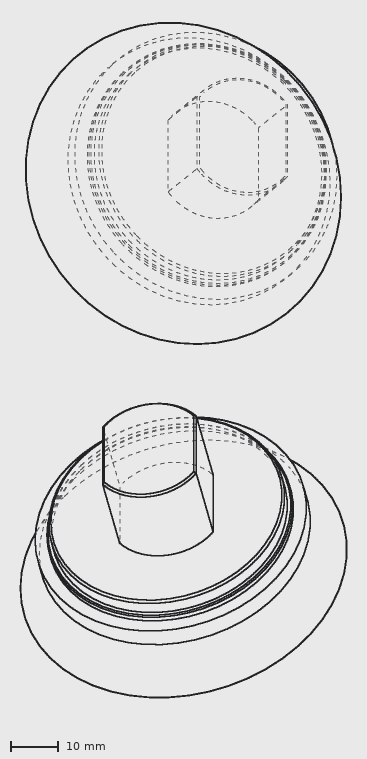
import cadquery as cq

overall_length = 39.95
face_diameter = 69.85
collar_diameter = 58.0
step_diameter = 52.5
flange_diameter = 50.4
shank_diameter = 25.4
shank_width_across_flats = 20.0

cone_length = 10.4
collar_length = 4.55
step_length = 1.5
shank_length = 20.0

flange_chamfer = 0.5
step_chamfer = 0.3
shank_chamfer = 0.45

face_y = -overall_length / 2
collar_y = face_y + cone_length
step_y = collar_y + collar_length
flange_y = step_y + step_length
shank_end_y = overall_length / 2
shank_y = shank_end_y - shank_length


def make_disc(diameter, start_y, end_y):
    """Solid cylinder on the Y axis between two positions."""
    plane = cq.Workplane("XZ", origin=(0, start_y, 0))
    return plane.circle(diameter / 2).extrude(start_y - end_y)


def make_cone():
    """Flare that widens from the collar to the flat face."""
    profile = (
        cq.Workplane("XY")
        .moveTo(0, face_y)
        .lineTo(face_diameter / 2, face_y)
        .lineTo(collar_diameter / 2, collar_y)
        .lineTo(0, collar_y)
        .close()
    )
    return profile.revolve(360, (0, 0, 0), (0, 1, 0))


def make_head():
    """Flare, collar, step and flange stacked along +Y."""
    collar = make_disc(collar_diameter, collar_y, step_y)
    step = make_disc(step_diameter, step_y, flange_y).faces(">Y").chamfer(step_chamfer)
    flange = make_disc(flange_diameter, flange_y, shank_y).faces(">Y").chamfer(flange_chamfer)
    return make_cone().union(collar).union(step).union(flange)


def make_shank():
    """Round shank with two flats facing -X and +X and a chamfered end."""
    flats_envelope = (
        cq.Workplane("XZ", origin=(0, shank_y, 0))
        .rect(shank_width_across_flats, shank_diameter)
        .extrude(-shank_length)
    )
    shank = make_disc(shank_diameter, shank_y, shank_end_y).intersect(flats_envelope)
    return shank.faces(">Y").chamfer(shank_chamfer)


result = make_head().union(make_shank())